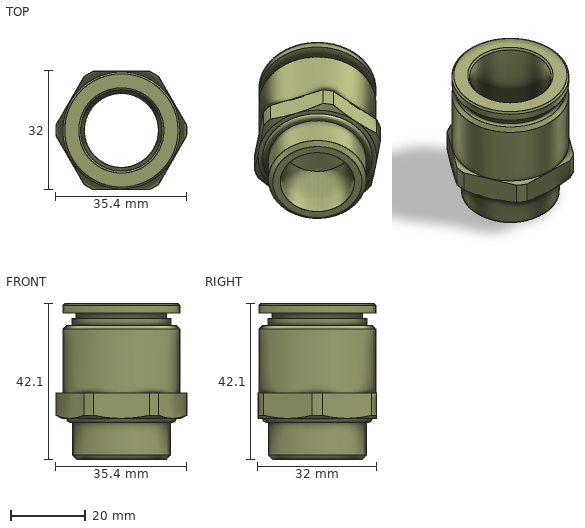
import cadquery as cq
import math

across_flats = 32.0
across_corners = 35.4
hex_bottom = 11.07
hex_top = 17.98
hex_chamfer_height = 0.85

spigot_diameter = 26.45
seal_diameter = 29.55
body_diameter = 31.6
collar_diameter = 26.8
neck_diameter = 24.5
flange_diameter = body_diameter

total_height = 42.1
seal_bottom = 10.0
body_top = 36.2
collar_top = 38.0
flange_bottom = 39.55

spigot_chamfer = 1.18
body_chamfer = 1.05
flange_chamfer = 0.5

through_diameter = 20.0
socket_diameter = 22.0
socket_floor = hex_top
socket_chamfer = 0.5


def cylinder(diameter, bottom, top):
    """Cylinder on the Z axis between two heights."""
    return cq.Workplane("XY").workplane(offset=bottom).circle(diameter / 2).extrude(top - bottom)


def make_hexagon():
    """Hexagon with turned corners and a conical chamfer below."""
    height = hex_top - hex_bottom
    prism = (
        cq.Workplane("XY")
        .workplane(offset=hex_bottom)
        .polygon(6, across_flats, circumscribed=True)
        .extrude(height)
        .rotate((0, 0, 0), (0, 0, 1), 30)
    )
    chamfer_width = (across_corners - across_flats) / 2
    envelope = (
        cylinder(across_corners, hex_bottom, hex_top)
        .faces("<Z")
        .chamfer(hex_chamfer_height, chamfer_width)
    )
    return prism.intersect(envelope)


def make_seal():
    """Disc under the hexagon, its rim a quarter round over the full height."""
    radius = seal_diameter / 2
    height = hex_bottom - seal_bottom
    diagonal = height * math.sqrt(0.5)
    return (
        cq.Workplane("XZ")
        .moveTo(0, hex_bottom)
        .lineTo(radius, hex_bottom)
        .threePointArc((radius - height + diagonal, hex_bottom - diagonal), (radius - height, seal_bottom))
        .lineTo(0, seal_bottom)
        .close()
        .revolve(360, (0, 0), (0, 1))
    )


def make_outside():
    """Stack of turned sections around the hexagon."""
    spigot = cylinder(spigot_diameter, 0, hex_bottom).faces("<Z").chamfer(spigot_chamfer)
    seal = make_seal()
    body = cylinder(body_diameter, hex_top, body_top).faces(">Z").chamfer(body_chamfer)
    collar = cylinder(collar_diameter, body_top, collar_top)
    neck = cylinder(neck_diameter, collar_top, flange_bottom)
    flange = cylinder(flange_diameter, flange_bottom, total_height).faces(">Z").chamfer(flange_chamfer)

    outside = make_hexagon()
    for section in (spigot, seal, body, collar, neck, flange):
        outside = outside.union(section)
    return outside


def cone(bottom_diameter, top_diameter, bottom, top):
    """Truncated cone on the Z axis between two heights."""
    return (
        cq.Workplane("XY")
        .workplane(offset=bottom)
        .circle(bottom_diameter / 2)
        .workplane(offset=top - bottom)
        .circle(top_diameter / 2)
        .loft()
    )


def make_bore():
    """Through hole with a wider, cone-bottomed socket and a chamfered mouth."""
    seat_height = (socket_diameter - through_diameter) / 2
    seat_top = socket_floor + seat_height
    mouth_diameter = socket_diameter + 2 * socket_chamfer
    mouth_bottom = total_height - socket_chamfer

    through_hole = cylinder(through_diameter, 0, socket_floor)
    seat = cone(through_diameter, socket_diameter, socket_floor, seat_top)
    socket = cylinder(socket_diameter, seat_top, mouth_bottom)
    mouth = cone(socket_diameter, mouth_diameter, mouth_bottom, total_height)
    return through_hole.union(seat).union(socket).union(mouth)


result = make_outside().cut(make_bore())